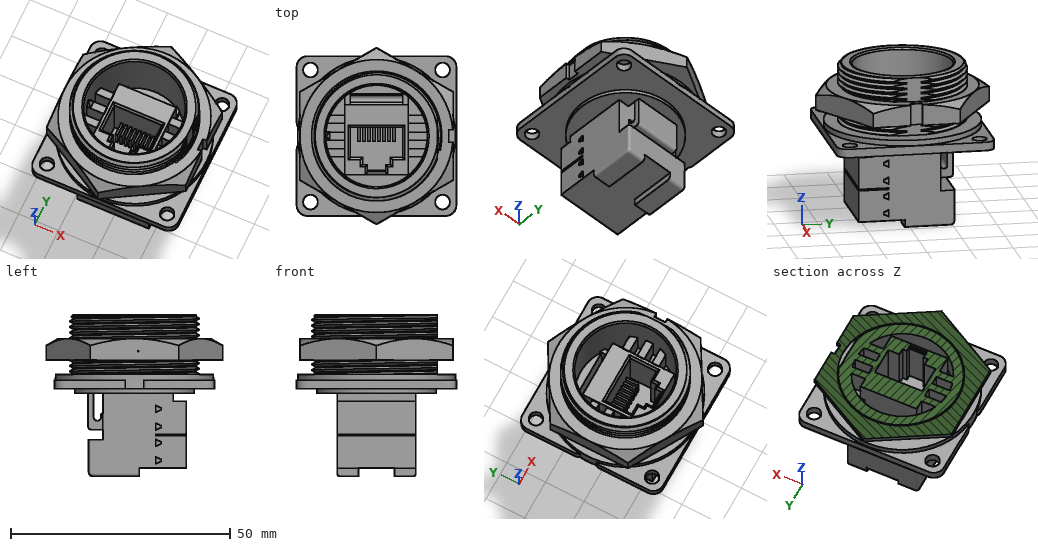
import cadquery as cq
import math

BIG = 100.0
MARGIN = 1.0

flange_side = 36.53
flange_top = 2.0
flange_corner_radius = 2.54
mount_hole_spacing = 30.15
mount_hole_diameter = 3.3
notch_half_width = 1.28
notch_edge_radius = 1.92
notch_depth = 2.2
disc_radius = 18.034
disc_top = 3.3
ring_radius = 13.65
ring_bottom = -1.0

barrel_top = 16.9
thread_root_radius = 14.0
thread_crest_radius = 14.83
thread_pitch = 1.27
thread_base_width = 1.0
thread_crest_z = 16.04
root_overlap = 0.1
thread_runout = 0.9
flat_x = 13.9
bore_radius = 11.6
bore_chamfer = 0.4
floor_z = 2.0

nut_across_flats = 34.925
nut_bottom = 6.57
nut_top = 11.46
nut_chamfer_angle = 30.0
nut_notch_half_width = 1.43
nut_notch_x = 16.53
thread_clearance = 0.1

face_z = 8.87
face_half_width = 7.2
face_rear_y = 7.2
face_front_y = -8.85
port_depth = 12.5
port_chamfer = 0.5
port_half_width = 6.46
port_top_y = 2.5
shoulder_y = -5.35
shoulder_half_width = 3.66
latch_step_y = -7.0
latch_half_width = 2.58
latch_bottom_y = -8.7
latch_ledge_width = 0.43
latch_ledge_drop = 2.0
contact_count = 8
contact_pitch = 1.143
contact_width = 0.55
contact_end_y = -1.17
contact_height = 4.0

fin_top = 8.4
fin_width = 1.85
fin_spacing = 3.83
key_reach = 0.95
key_half_width = 0.95
key_taper_inset = 0.7
key_height = 1.4
pad_top = floor_z + 1.0
wall_overlap = 0.2

body_half_width = 9.0
terminal_front_y = -11.84
terminal_top = -2.8
terminal_bottom = -18.1
jack_bottom = -19.95
foot_front_y = -1.1
rear_wall_y = 10.5
rear_wall_top = -11.6
rear_edge_radius = 0.6
rear_corner_radius = 1.0
foot_slot_half_width = 4.07
groove_top = -10.33
groove_bottom = -10.66
groove_end_y = -4.85
groove_depth = 0.15
mark_length = 1.22
mark_base_half = 0.79
mark_tip_half = 0.22
mark_depth = 0.2
mark_heights = [-4.56, -8.6, -12.31, -16.32]

arm_half_width = 6.02
arm_outer_y = 10.63
arm_inner_y = 9.3
arm_inner_top_y = 9.64
arm_bottom = -9.34
arm_corner_radius = 0.8
arm_slot_bottom = -7.25
arm_stub_y = 7.66
arm_stub_top = -5.58
arm_stub_radius = 0.45


def block(x0, x1, y0, y1, z0, z1):
    """Axis-aligned box between the given limits."""
    return cq.Workplane("XY").box(x1 - x0, y1 - y0, z1 - z0, centered=False).translate((x0, y0, z0))


def cylinder(radius, z0, z1):
    return cq.Workplane("XY").workplane(offset=z0).circle(radius).extrude(z1 - z0)


def thread_ridge(start_z, height, root, crest):
    """Helical V ridge; start_z is the crest height where it begins on the +X axis."""
    sunk_root = root - root_overlap
    sunk_half = thread_base_width / 2 * (crest - sunk_root) / (crest - root)

    def helix(radius, rise):
        return cq.Wire.makeHelix(thread_pitch, height, radius, cq.Vector(0, 0, start_z + rise))

    rails = [helix(sunk_root, -sunk_half), helix(crest, 0), helix(sunk_root, sunk_half)]
    faces = [cq.Face.makeRuledSurface(rails[i - 1], rails[i]) for i in range(3)]
    for end in (0, 1):
        corners = [rail.positionAt(end) for rail in rails]
        faces.append(cq.Face.makeFromWires(cq.Wire.makePolygon(corners, close=True)))
    return cq.Workplane(cq.Solid.makeSolid(cq.Shell.makeShell(faces)))


def threaded_rod(z0, z1, growth=0.0):
    """Core with a right-hand V thread, cut square at z0 and z1; growth enlarges it radially."""
    root = thread_root_radius + growth
    crest = thread_crest_radius + growth
    seam_crest_z = thread_crest_z - thread_pitch / 4
    turns_below = math.ceil((seam_crest_z - z0) / thread_pitch) + 1
    turns_above = math.ceil((z1 - seam_crest_z) / thread_pitch) + 1
    start_z = seam_crest_z - turns_below * thread_pitch
    height = (turns_below + turns_above) * thread_pitch
    core = cylinder(root, start_z - thread_pitch, start_z + height + thread_pitch)
    rod = core.union(thread_ridge(start_z, height, root, crest))
    return rod.intersect(cylinder(crest + MARGIN, z0, z1)).rotate((0, 0, 0), (0, 0, 1), 180)


def make_flange():
    plate = (
        cq.Workplane("XY")
        .rect(flange_side, flange_side)
        .extrude(flange_top)
        .edges("|Z")
        .fillet(flange_corner_radius)
        .faces(">Z")
        .workplane()
        .rect(mount_hole_spacing, mount_hole_spacing, forConstruction=True)
        .vertices()
        .hole(mount_hole_diameter)
    )
    edge_x = -flange_side / 2
    notch = block(
        edge_x - MARGIN, edge_x + notch_depth, -notch_half_width, notch_half_width,
        -MARGIN, flange_top + MARGIN,
    )
    plate = plate.cut(notch)
    for side in (-1, 1):
        corner_point = (edge_x, side * notch_half_width, flange_top / 2)
        notch_corner = cq.selectors.NearestToPointSelector(corner_point)
        plate = plate.edges("|Z").edges(notch_corner).fillet(notch_edge_radius)
    return plate.union(cylinder(disc_radius, 0, disc_top)).union(cylinder(ring_radius, ring_bottom, 0))


def make_barrel():
    rod = threaded_rod(disc_top - root_overlap, barrel_top)
    envelope = (
        cylinder(thread_root_radius + thread_runout, 0, barrel_top)
        .faces(">Z")
        .edges()
        .chamfer(thread_runout)
    )
    flat = block(flat_x, BIG, -BIG, BIG, 0, BIG)
    return rod.cut(flat).intersect(envelope)


def port_outline():
    """Stepped plug opening, symmetric about X = 0."""
    right = [
        (port_half_width, port_top_y),
        (port_half_width, shoulder_y),
        (shoulder_half_width, shoulder_y),
        (shoulder_half_width, latch_step_y),
        (latch_half_width, latch_step_y),
        (latch_half_width, latch_bottom_y),
    ]
    left = [(-x, y) for x, y in reversed(right)]
    return cq.Workplane("XY").workplane(offset=face_z).polyline(right + left).close()


def make_port_cavity():
    rim = port_outline().wires().val()
    inner = rim.offset2D(-port_chamfer, "intersection")[0]
    well = cq.Workplane(cq.Solid.extrudeLinear(inner, [], cq.Vector(0, 0, -port_depth)))
    low_inner = inner.moved(cq.Location(cq.Vector(0, 0, -port_chamfer)))
    funnel = cq.Workplane(cq.Solid.makeLoft([rim, low_inner], True))
    cavity = well.union(funnel)
    floor = face_z - port_depth
    ledge_y = latch_bottom_y + port_chamfer
    ledge_top = face_z - latch_ledge_drop
    ledge = block(-BIG, BIG, ledge_y, ledge_y + latch_ledge_width, floor, ledge_top)
    cavity = cavity.cut(ledge)
    for i in range(contact_count):
        x = (i - (contact_count - 1) / 2) * contact_pitch
        contact = block(
            x - contact_width / 2, x + contact_width / 2, contact_end_y, port_top_y,
            floor, floor + contact_height,
        )
        cavity = cavity.cut(contact)
    return cavity


def make_bore_inserts():
    """Port block, guide fins, key and pads standing on the bore floor."""
    port_block = block(
        -face_half_width, face_half_width, face_front_y, face_rear_y, ring_bottom, face_z
    )
    inserts = port_block
    for i in (-1, 0, 1):
        y = i * fin_spacing
        fin = block(-BIG, BIG, y - fin_width / 2, y + fin_width / 2, floor_z, fin_top)
        inserts = inserts.union(fin)
    for x0 in (-face_half_width, arm_half_width):
        strip = block(x0, x0 + face_half_width - arm_half_width, face_rear_y, BIG, floor_z, pad_top)
        inserts = inserts.union(strip)
    key = (
        cq.Workplane("XY")
        .workplane(offset=fin_top)
        .center(-bore_radius, 0)
        .rect(2 * key_reach, 2 * key_half_width)
        .extrude(key_height, taper=math.degrees(math.atan2(key_taper_inset, key_height)))
    )
    inserts = inserts.union(key)
    return inserts.intersect(cylinder(bore_radius + wall_overlap, ring_bottom, barrel_top))


def make_jack_body():
    side_profile = [
        (face_rear_y, ring_bottom),
        (face_rear_y, rear_wall_top),
        (rear_wall_y, rear_wall_top),
        (rear_wall_y, jack_bottom),
        (foot_front_y, jack_bottom),
        (foot_front_y, terminal_bottom),
        (terminal_front_y, terminal_bottom),
        (terminal_front_y, terminal_top),
        (face_front_y, terminal_top),
        (face_front_y, ring_bottom),
    ]
    body = cq.Workplane("YZ").polyline(side_profile).close().extrude(body_half_width, both=True)
    body = body.faces("<Z").edges(">Y").fillet(rear_corner_radius)
    body = body.faces(">Y or <Z").edges("<X or >X").fillet(rear_edge_radius)
    foot_slot = block(
        -foot_slot_half_width, foot_slot_half_width, -BIG, BIG, jack_bottom - MARGIN, terminal_bottom
    )
    body = body.cut(foot_slot)
    groove_blank = block(-BIG, BIG, terminal_front_y - MARGIN, groove_end_y, groove_bottom, groove_top)
    inner_x = body_half_width - groove_depth
    groove_core = block(-inner_x, inner_x, terminal_front_y + groove_depth, BIG, groove_bottom, groove_top)
    return body.cut(groove_blank.cut(groove_core)).cut(make_wire_marks())


def make_wire_marks():
    """Blunt arrows pointing to -Y, sunk into both sides of the body."""
    marks = cq.Workplane("XY")
    tip_y = groove_end_y - mark_length
    for z in mark_heights:
        arrow = [
            (groove_end_y, z - mark_base_half),
            (groove_end_y, z + mark_base_half),
            (tip_y, z + mark_tip_half),
            (tip_y, z - mark_tip_half),
        ]
        for x in (-body_half_width, body_half_width - mark_depth):
            side_plane = cq.Workplane("YZ", origin=(x, 0, 0))
            marks = marks.add(side_plane.polyline(arrow).close().extrude(mark_depth))
    return marks.combine()


def make_arm_slot(top_z, top_y):
    """U-shaped slot between the latch arm and the jack, open at the top."""
    slot_radius = (arm_inner_y - arm_stub_y) / 2
    centre_y = arm_stub_y + slot_radius
    centre_z = arm_slot_bottom + slot_radius
    return (
        cq.Workplane("YZ")
        .moveTo(top_y, top_z)
        .lineTo(arm_inner_y, ring_bottom)
        .lineTo(arm_inner_y, centre_z)
        .threePointArc((centre_y, arm_slot_bottom), (arm_stub_y, centre_z))
        .lineTo(arm_stub_y, arm_stub_top - arm_stub_radius)
        .radiusArc((arm_stub_y - arm_stub_radius, arm_stub_top), -arm_stub_radius)
        .lineTo(face_rear_y, arm_stub_top)
        .lineTo(face_rear_y, top_z)
        .close()
        .extrude(arm_half_width, both=True)
    )


def make_arm():
    arm = block(-arm_half_width, arm_half_width, face_rear_y, arm_outer_y, arm_bottom, ring_bottom)
    return arm.faces("<Z").edges(">Y").fillet(arm_corner_radius)


def make_connector():
    bore = cylinder(bore_radius, floor_z, barrel_top).union(
        cq.Workplane("XY")
        .workplane(offset=barrel_top - bore_chamfer)
        .circle(bore_radius)
        .workplane(offset=bore_chamfer)
        .circle(bore_radius + bore_chamfer)
        .loft()
    )
    housing = make_flange().union(make_barrel()).cut(bore)
    housing = housing.union(make_bore_inserts()).union(make_jack_body()).union(make_arm())
    return housing.cut(make_arm_slot(floor_z, arm_inner_top_y)).cut(make_port_cavity())


def make_nut():
    corner_radius = nut_across_flats / math.sqrt(3)
    flat_radius = nut_across_flats / 2
    hexagon = (
        cq.Workplane("XY")
        .workplane(offset=nut_bottom)
        .polygon(6, 2 * corner_radius)
        .extrude(nut_top - nut_bottom)
        .rotate((0, 0, 0), (0, 0, 1), 30)
    )
    cone_radius = corner_radius + MARGIN
    cone_drop = (cone_radius - flat_radius) * math.tan(math.radians(nut_chamfer_angle))
    envelope = (
        cq.Workplane("XZ")
        .polyline([
            (0, nut_bottom),
            (cone_radius, nut_bottom),
            (cone_radius, nut_top - cone_drop),
            (flat_radius, nut_top),
            (0, nut_top),
        ])
        .close()
        .revolve(360, (0, 0, 0), (0, 1, 0))
    )
    notch = block(nut_notch_x, BIG, -nut_notch_half_width, nut_notch_half_width, 0, BIG)
    threaded_hole = threaded_rod(nut_bottom - MARGIN, nut_top + MARGIN, thread_clearance)
    return hexagon.intersect(envelope).cut(notch).cut(threaded_hole)


connector = make_connector()
nut = make_nut()

result = cq.Compound.makeCompound([*connector.solids().vals(), *nut.solids().vals()])